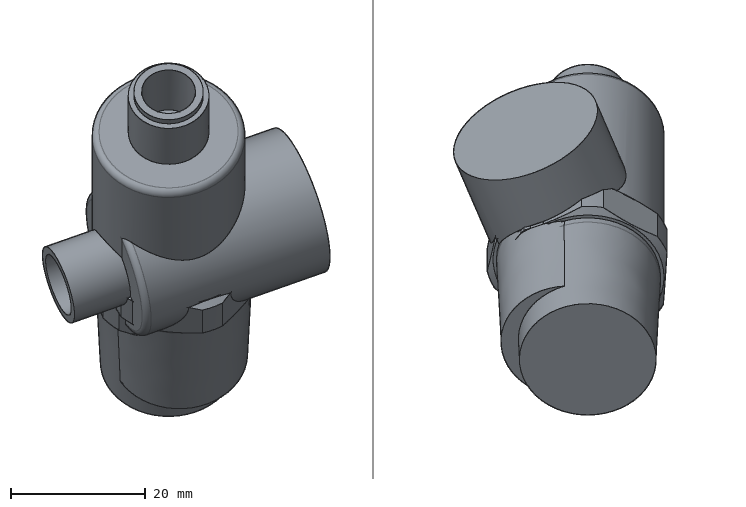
import cadquery as cq
import math

cap_diameter = 22.7
cap_length = 29.95
cap_edge_radius = 1.0
tube_diameter = 12.0
tube_length = 9.05
tube_bore = 9.5

insert_diameter = 10.3
insert_lip = 1.0
insert_bore = 8.0

hex_across_flats = 23.0
hex_corner_diameter = 24.9
hex_height = 7.0
hex_chamfer_width = 1.15
hex_chamfer_height = 0.6

thread_length = 21.05
thread_top_diameter = 21.6
thread_end_diameter = 20.3
thread_collar = 1.1

vent_diameter = 2.5
vent_depth = 4.1
vent_drop = 8.05
vent_angle = 203.0

hex_turn_to_x = 30.0
upright_hex_turn = -7.2

side_x = 2.7
side_y = 0.55
side_z = 5.1
side_cap_back = 20.0

hex_top = thread_length + hex_height
cap_top = hex_top + cap_length
side_axis_z = hex_top + side_z


def rod(diameter, length):
    """Cylinder standing on the XY plane."""
    return cq.Workplane("XY").circle(diameter / 2).extrude(length)


def cap_barrel():
    """Barrel standing on the XY plane, rounded at its upper rim."""
    return rod(cap_diameter, cap_length).faces(">Z").edges().fillet(cap_edge_radius)


def cap_tube():
    """Open tube that stands on the rounded end of a barrel."""
    tube = rod(tube_diameter, tube_length).cut(rod(tube_bore, tube_length))
    return tube.translate((0, 0, cap_length))


def stud_hex(turn):
    """Hexagon with turned corners, chamfered above and below, in its place on a stud."""
    prism = cq.Workplane("XY").polygon(6, hex_across_flats, circumscribed=True).extrude(hex_height)
    turned_blank = rod(hex_corner_diameter, hex_height).faces("<Z or >Z").edges()
    turned_blank = turned_blank.chamfer(hex_chamfer_height, hex_chamfer_width)
    hexagon = prism.intersect(turned_blank).rotate((0, 0, 0), (0, 0, 1), hex_turn_to_x + turn)
    return hexagon.translate((0, 0, thread_length))


def stud_thread():
    """Tapered thread with a short straight collar under the hexagon."""
    taper_length = thread_length - thread_collar
    outline = [
        (0, 0),
        (thread_end_diameter / 2, 0),
        (thread_top_diameter / 2, taper_length),
        (thread_top_diameter / 2, thread_length),
        (0, thread_length),
    ]
    return cq.Workplane("XZ").polyline(outline).close().revolve(360, (0, 0, 0), (0, 1, 0))


def lay_sideways(shape):
    """Turn a shape's +Z to -Y and put its foot at the back of the side cap."""
    return shape.rotate((0, 0, 0), (1, 0, 0), 90).translate((side_x, side_cap_back, side_axis_z))


def vent_hole():
    """Blind radial hole near the top of the upright cap."""
    angle = math.radians(vent_angle)
    outward = cq.Vector(math.cos(angle), math.sin(angle), 0)
    centre = cq.Vector(0, 0, cap_top - vent_drop) + outward * (cap_diameter / 2 - vent_depth)
    return cq.Workplane(cq.Solid.makeCylinder(vent_diameter / 2, 2 * vent_depth, centre, outward))


side_offset = (side_x, side_y, side_z)
side_barrel = lay_sideways(cap_barrel())
side_hex = stud_hex(0).translate(side_offset)
side_thread = stud_thread().translate(side_offset)
upright_barrel = cap_barrel().translate((0, 0, hex_top))

upright_cap = upright_barrel.union(cap_tube().translate((0, 0, hex_top)))
upright_cap = upright_cap.cut(vent_hole()).cut(side_barrel)

insert = rod(tube_bore, tube_length).union(rod(insert_diameter, insert_lip).translate((0, 0, tube_length)))
insert = insert.cut(rod(insert_bore, tube_length + insert_lip)).translate((0, 0, cap_top))

upright_stud = stud_thread().union(stud_hex(upright_hex_turn)).cut(side_barrel).cut(side_hex)

side_tube = lay_sideways(cap_tube()).cut(upright_barrel).cut(upright_stud)
side_cap = side_barrel.union(side_tube).cut(side_hex)

side_stud = side_hex.cut(upright_cap).union(side_thread.cut(side_barrel).cut(upright_stud))

result = cq.Compound.makeCompound(
    [
        upright_cap.solids().val(),
        insert.solids().val(),
        upright_stud.solids().val(),
        side_cap.solids().val(),
        side_stud.solids().val(),
    ]
)